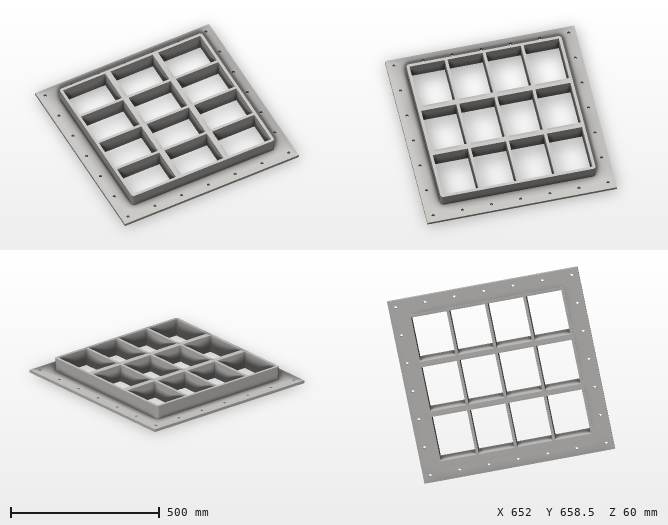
import cadquery as cq

plate_x = 652.0
plate_y = 658.5
plate_thickness = 10.0

total_height = 60.0
lip_depth = 2.0
flange_width = 59.0
frame_x = plate_x - 2 * flange_width
frame_y = plate_y - 2 * flange_width
frame_corner_radius = 10.0

columns = 4
rows = 3
wall = 10.0
column_bar = 10.0
row_bar = 20.0
cell_x = (frame_x - 2 * wall - (columns - 1) * column_bar) / columns
cell_y = (frame_y - 2 * wall - (rows - 1) * row_bar) / rows

hole_diameter = 10.5
hole_inset = 25.0
hole_intervals = 6
hole_span_x = plate_x - 2 * hole_inset
hole_span_y = plate_y - 2 * hole_inset


def make_plate():
    """Flat flange whose underside sits just above the frame's bottom."""
    return (
        cq.Workplane("XY")
        .workplane(offset=lip_depth)
        .rect(plate_x, plate_y)
        .extrude(plate_thickness)
    )


def make_frame():
    """Full-height block with rounded vertical corners."""
    return (
        cq.Workplane("XY")
        .rect(frame_x, frame_y)
        .extrude(total_height)
        .edges("|Z")
        .fillet(frame_corner_radius)
    )


def make_openings():
    """Prisms that leave the frame wall and the crossing bars standing."""
    return (
        cq.Workplane("XY")
        .rarray(cell_x + column_bar, cell_y + row_bar, columns, rows)
        .rect(cell_x, cell_y)
        .extrude(total_height)
    )


def hole_centers():
    """Evenly spaced points along all four edges, each corner counted once."""
    centers = []
    for i in range(hole_intervals + 1):
        x = -hole_span_x / 2 + i * hole_span_x / hole_intervals
        centers += [(x, -hole_span_y / 2), (x, hole_span_y / 2)]
    for i in range(1, hole_intervals):
        y = -hole_span_y / 2 + i * hole_span_y / hole_intervals
        centers += [(-hole_span_x / 2, y), (hole_span_x / 2, y)]
    return centers


def make_bolt_holes():
    """Cylinders that pass through the flange."""
    return (
        cq.Workplane("XY")
        .pushPoints(hole_centers())
        .circle(hole_diameter / 2)
        .extrude(total_height)
    )


result = make_plate().union(make_frame()).cut(make_openings()).cut(make_bolt_holes())